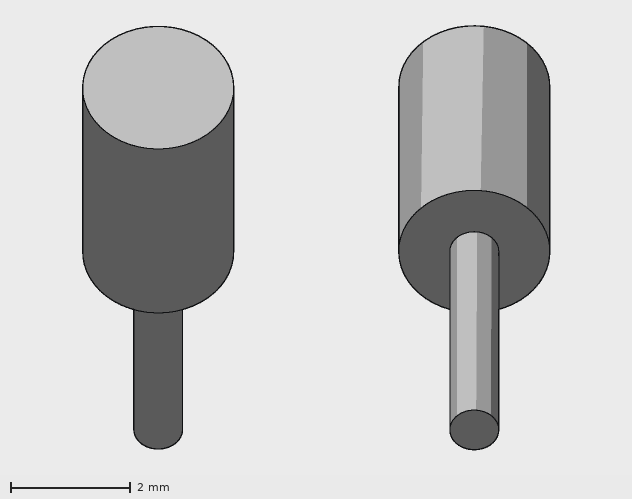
import cadquery as cq

total_length = 9.8
head_diameter = 2.54
head_length = 4.7
pin_diameter = 0.82

pin_length = total_length - head_length


def make_head():
    """Plain cylinder standing on the XY plane."""
    return cq.Workplane("XY").circle(head_diameter / 2).extrude(head_length)


def make_pin():
    """Coaxial round pin hanging from the underside of the head."""
    return cq.Workplane("XY").circle(pin_diameter / 2).extrude(-pin_length)


head = make_head()
pin = make_pin()

result = cq.Compound.makeCompound([head.val(), pin.val()])